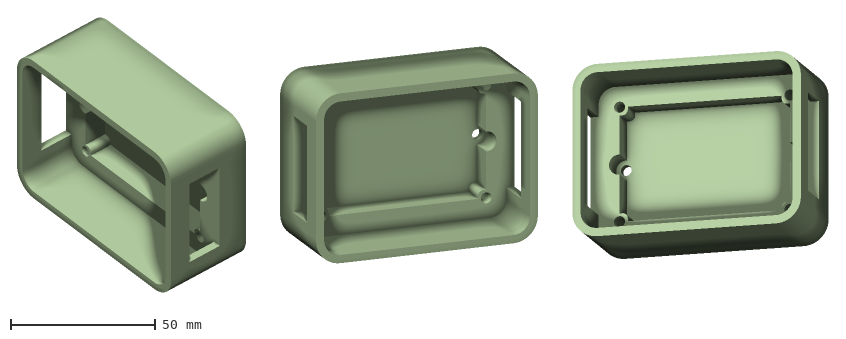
import cadquery as cq

length = 82.5
depth = 34.0
height = 61.5
corner_radius = 9.0
wall = 3.0
floor = wall

cavity_depth = 22.1
well_length = 61.5
well_height = 40.8

post_reach = wall
post_radius = 2.0
screw_spacing_x = well_length
screw_spacing_z = well_height
screw_diameter = 3.1
lead_in_diameter = 4.0
lead_in_depth = 1.65

mount_spacing = 61.9
mount_diameter = 3.8
scallop_diameter = 7.2

window_depth = 13.6
window_height = 35.1

front_y = -depth / 2
ledge_y = front_y + cavity_depth
floor_y = depth / 2 - floor

mount_points = [(side_x * mount_spacing / 2, 0) for side_x in (-1, 1)]
screw_points = [
    (side_x * screw_spacing_x / 2, side_z * screw_spacing_z / 2)
    for side_x in (-1, 1)
    for side_z in (-1, 1)
]


def block(size_x, size_z, start_y, end_y):
    """Block centred on the Y axis between two Y positions."""
    size_y = end_y - start_y
    return cq.Workplane("XY").box(size_x, size_y, size_z).translate((0, start_y + size_y / 2, 0))


def cylinders(points, diameter, start_y, end_y):
    """Cylinders along Y at the given (x, z) points."""
    plane = cq.Plane(origin=(0, start_y, 0), xDir=(1, 0, 0), normal=(0, -1, 0))
    return cq.Workplane(plane).pushPoints(points).circle(diameter / 2).extrude(start_y - end_y)


def make_well():
    """Well with scalloped ends and a rounded post in each corner."""
    well = block(well_length, well_height, ledge_y, floor_y)
    for side_x in (-1, 1):
        for side_z in (-1, 1):
            post = block(2 * post_reach, 2 * post_reach, ledge_y, floor_y).edges("|Y").fillet(post_radius)
            well = well.cut(post.translate((side_x * well_length / 2, 0, side_z * well_height / 2)))
    return well.union(cylinders(mount_points, scallop_diameter, ledge_y, floor_y))


def make_lead_ins():
    """Cones that narrow each screw hole inward from the ledge face."""
    cones = cq.Workplane("XY")
    for x, z in screw_points:
        cone = cq.Solid.makeCone(
            lead_in_diameter / 2,
            screw_diameter / 2,
            lead_in_depth,
            pnt=cq.Vector(x, ledge_y, z),
            dir=cq.Vector(0, 1, 0),
        )
        cones = cones.add(cone)
    return cones.combine()


body = block(length, height, front_y, depth / 2).edges("|Y").fillet(corner_radius)
cavity = block(length - 2 * wall, height - 2 * wall, front_y, ledge_y)
cavity = cavity.edges("|Y").fillet(corner_radius - wall)
body = body.cut(cavity).cut(make_well())

body = body.cut(cylinders(screw_points, screw_diameter, ledge_y, depth / 2))
body = body.cut(make_lead_ins())
body = body.cut(cylinders(mount_points, mount_diameter, floor_y, depth / 2))

result = body.cut(block(length, window_height, ledge_y - window_depth, ledge_y))